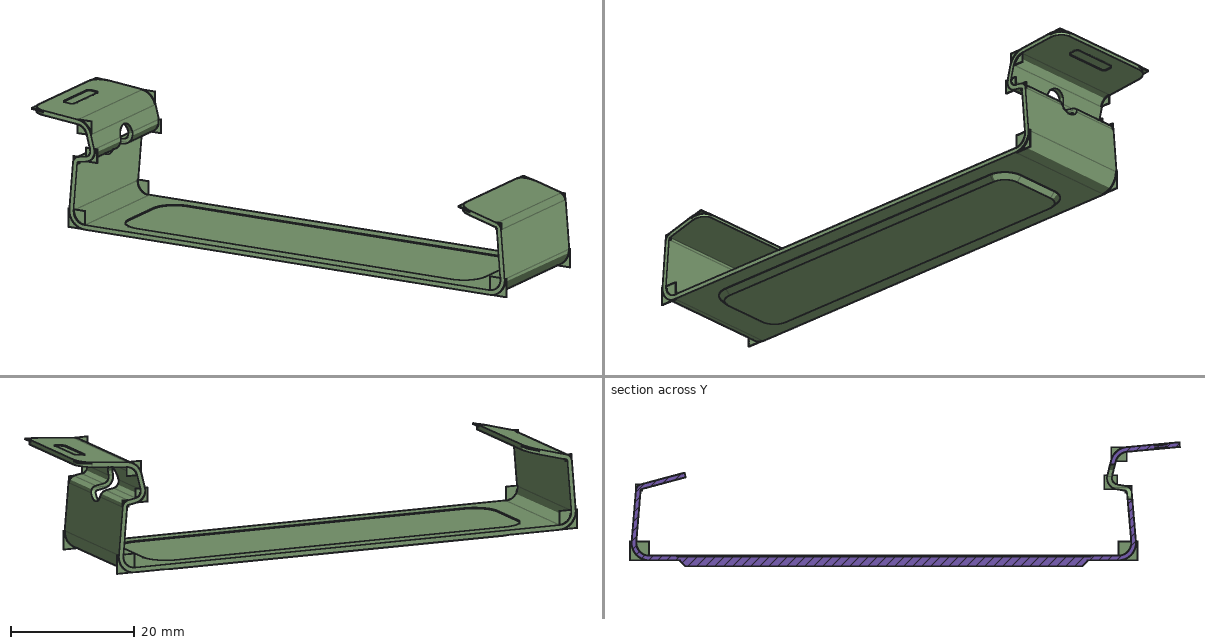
import cadquery as cq
import math

width = 20.8
sheet = 0.8
skin = 0.2
setback = 0.1

left_tip = (-44.5, 19.2)
hook_top = (-33.9, 18.2)
step_right = (-32.3, 11.85)
step_left = (-35.9, 11.2)
floor_left = (-36.8, sheet)
floor_right = (43.7, sheet)
right_top = (42.8, 11.5)
right_tip = (35.5, 13.5)
face_corners = [left_tip, hook_top, step_right, step_left,
                floor_left, floor_right, right_top, right_tip]

wide_bend = 2.05
step_bend = 1.1
tight_bend = 0.4
inside_radii = [wide_bend, step_bend, tight_bend, wide_bend, wide_bend, tight_bend]

tip_radius = 2.2

slot_length, slot_width, slot_radius = 8.5, 2.0, 0.6
slot_from_tip = 3.1

hole_width, hole_height = 3.7, 5.5
hole_z = 12.7
hole_reach = 17.8

window_left, window_right = -30.0, 36.9
window_width, window_radius = 15.9, 4.0
pad_inset = 0.45
pad_depth = 1.0
pad_chamfer = 0.9


def direction(start, end):
    """Unit vector from start to end."""
    length = math.dist(start, end)
    return ((end[0] - start[0]) / length, (end[1] - start[1]) / length)


def turn(before, corner, after):
    """Signed turning angle at a corner, positive to the left."""
    u = direction(before, corner)
    v = direction(corner, after)
    return math.atan2(u[0] * v[1] - u[1] * v[0], u[0] * v[0] + u[1] * v[1])


def bisector(before, corner, after):
    """Unit vector from a corner towards its bend centre."""
    u = direction(corner, before)
    v = direction(corner, after)
    return direction((0, 0), (u[0] + v[0], u[1] + v[1]))


def other_face(corners):
    """Corners of the opposite sheet face, one thickness to the right."""
    u = direction(corners[0], corners[1])
    moved = [(corners[0][0] + sheet * u[1], corners[0][1] - sheet * u[0])]
    for before, corner, after in zip(corners, corners[1:], corners[2:]):
        half = turn(before, corner, after) / 2
        b = bisector(before, corner, after)
        reach = -math.copysign(sheet / math.cos(half), half)
        moved.append((corner[0] + reach * b[0], corner[1] + reach * b[1]))
    u = direction(corners[-2], corners[-1])
    moved.append((corners[-1][0] + sheet * u[1], corners[-1][1] - sheet * u[0]))
    return moved


def bend_points(before, corner, after, radius):
    """Start, middle and end of the arc that rounds a corner."""
    half = abs(turn(before, corner, after)) / 2
    tangent = radius * math.tan(half)
    middle = radius / math.cos(half) - radius
    moves = [(direction(corner, before), tangent),
             (bisector(before, corner, after), middle),
             (direction(corner, after), tangent)]
    return [(corner[0] + d * u[0], corner[1] + d * u[1]) for u, d in moves]


def face_bends(corners, left_turn_extra, right_turn_extra):
    """Arc points of every bend along one sheet face.

    The extras are added to the inside radius where the face lies outside the bend.
    """
    bends = []
    for before, corner, after, inside in zip(corners, corners[1:], corners[2:], inside_radii):
        turns_left = turn(before, corner, after) > 0
        extra = left_turn_extra if turns_left else right_turn_extra
        bends.append(bend_points(before, corner, after, inside + extra))
    return bends


back_corners = other_face(face_corners)
face_arcs = face_bends(face_corners, 0, sheet)
back_arcs = face_bends(back_corners, sheet, 0)


def make_strip():
    """Bent strip: out along one sheet face, then back along the other."""
    profile = cq.Workplane("XZ").moveTo(*face_corners[0])
    for start, middle, end in face_arcs:
        profile = profile.lineTo(*start).threePointArc(middle, end)
    profile = profile.lineTo(*face_corners[-1]).lineTo(*back_corners[-1])
    for start, middle, end in reversed(back_arcs):
        profile = profile.lineTo(*end).threePointArc(middle, start)
    return profile.lineTo(*back_corners[0]).close().extrude(width / 2, both=True)


def tab_plane(tip, neighbour):
    """Plane on a tab's upper face: origin at the tip, local X along the tab."""
    u = direction(tip, neighbour)
    return cq.Plane(origin=(tip[0], 0, tip[1]), xDir=(u[0], 0, u[1]), normal=(-u[1], 0, u[0]))


left_tab = tab_plane(left_tip, hook_top)
right_tab = tab_plane(back_corners[-1], back_corners[-2])


def round_tip(strip, plane):
    """Round both corners of a tab, keeping a thin square flap inside the sheet."""
    tip = cq.Workplane(plane)
    square = tip.center(tip_radius / 2, 0).rect(tip_radius, width).extrude(-sheet)
    rounded_length = 4 * tip_radius
    end = tip.center(rounded_length / 2, 0)
    rounded = rounded_block(end, rounded_length, width, tip_radius, -sheet)
    corners = square.cut(rounded)
    flap = (tip.workplane(offset=-setback).center(tip_radius / 2, 0)
            .rect(tip_radius, width).extrude(-skin))
    return strip.cut(corners).union(flap)


def rounded_block(base, length, breadth, radius, height):
    """Rectangular block with four rounded corners, centred on the base plane."""
    outline = cq.Sketch().rect(length, breadth).vertices().fillet(radius)
    return base.placeSketch(outline).extrude(height)


def end_webs(bend_outline):
    """Thin rectangular webs closing a bend at both sides of the strip."""
    xs = [x for x, z in bend_outline]
    zs = [z for x, z in bend_outline]
    length, height = max(xs) - min(xs), max(zs) - min(zs)
    breadth = width - 2 * setback
    block = cq.Workplane("XY").box(length, breadth, height)
    core = cq.Workplane("XY").box(length, breadth - 2 * skin, height)
    return block.cut(core).translate((max(xs) - length / 2, 0, max(zs) - height / 2))


result = make_strip()
for tab in (left_tab, right_tab):
    result = round_tip(result, tab)
for face_arc, back_arc, face_corner, back_corner in zip(
        face_arcs, back_arcs, face_corners[1:-1], back_corners[1:-1]):
    result = result.union(end_webs(face_arc + back_arc + [face_corner, back_corner]))

for depth in (0, sheet - skin):
    base = cq.Workplane(left_tab).workplane(offset=-depth).center(slot_from_tip, 0)
    result = result.cut(rounded_block(base, slot_width, slot_length, slot_radius, -skin))

hole = (cq.Workplane("YZ", origin=(left_tip[0], 0, hole_z))
        .slot2D(hole_height, hole_width, 90).extrude(hole_reach))
result = result.cut(hole)

window_x = (window_left + window_right) / 2
window_length = window_right - window_left
window_base = cq.Workplane("XY", origin=(window_x, 0, sheet))
result = result.cut(rounded_block(window_base, window_length, window_width, window_radius, -skin))
pad_base = cq.Workplane("XY", origin=(window_x, 0, 0))
pad = rounded_block(pad_base, window_length - 2 * pad_inset, window_width - 2 * pad_inset,
                    window_radius - pad_inset, -pad_depth)
result = result.union(pad.faces("<Z").edges().chamfer(pad_chamfer))